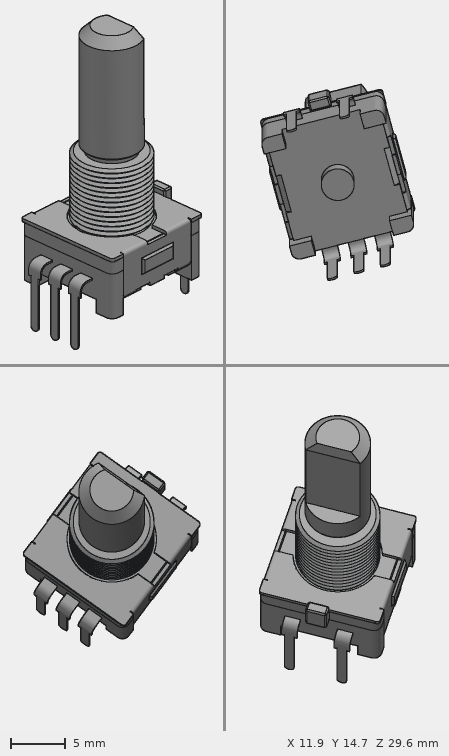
import cadquery as cq
import math


BODY_X = 11.47
BODY_Y = 11.92
BODY_CORNER = 0.75
SIDE_RECESS_HALF_Y = 4.5
FLAP_GAP = 0.12

FLOOR_Z = 1.42
SPLIT_Z = 4.65
SHEET = 0.35
BLOCK_TOP = 6.0
COVER_TOP = BLOCK_TOP + SHEET
OVERALL_TOP = 26.1

LEG_INNER_X = 3.68
BOSS_D = 3.0
LOCK_NOTCH_HALF_Y = 1.8

COVER_CORNER = 0.3
COVER_HOLE_R = 4.05
SLOT_Y = 2.5
FLAP_OUTER_X = BODY_X / 2 - 0.03
FLAP_INNER_X = FLAP_OUTER_X - SHEET
FLAP_HALF_Y = 4.45
FLAP_BOTTOM = 1.93
TONGUE_Y = 1.9
TONGUE_BOTTOM = 1.6
HOOK_Y = 1.63
HOOK_CENTRE_Y = 3.573
HOOK_REACH = 2 * SHEET
HOOK_CLEARANCE = 0.1
BUMP_OUTER_X = 11.9 / 2
BUMP_Y = 4.15
BUMP_BOTTOM = 3.2
BUMP_TOP = 4.92
BUMP_CHAMFER = 0.2

THREAD_CREST_R = 3.85
THREAD_ROOT_R = 3.55
THREAD_PITCH = 0.5
CREST_COUNT = 14
BUSHING_TOP = COVER_TOP + (CREST_COUNT - 0.5) * THREAD_PITCH
BUSHING_TOP_R = 3.5

LUG_X = 2.0
LUG_DEPTH = 1.05
LUG_TOP = 6.97
LUG_CHAMFER = 0.15

SHAFT_R = 6.0 / 2
NECK_R = 5.0 / 2
SHAFT_BOTTOM = 13.65
SHAFT_LOWER_CHAMFER = 0.2
SHAFT_TOP_CHAMFER = 1.0
FLAT_Y = 1.5
FLAT_BOTTOM = 16.2
FLAT_TOP_SETBACK = 0.35

PIN_PITCH = 2.5
PIN_WIDE = 1.48
PIN_NARROW = 0.92
PIN_SHEET = 0.18
PIN_SPAN_Y = 14.7
FRONT_PIN_REACH = 7.6
REAR_PIN_REACH = PIN_SPAN_Y - FRONT_PIN_REACH
PIN_TOP = 3.45
PIN_BEND_R = 0.9
PIN_SHOULDER_Z = 2.0
PIN_TIP_Z = OVERALL_TOP - 29.65


def block(x0, x1, y0, y1, z0, z1):
    """Box given by its limits along X, Y and Z."""
    return cq.Workplane("XY").box(x1 - x0, y1 - y0, z1 - z0, centered=False).translate((x0, y0, z0))


def both_sides(shape):
    """The shape together with its half-turn copy about the Z axis."""
    return shape.union(shape.rotate((0, 0, 0), (0, 0, 1), 180))


def body_prism(bottom, top, recess_x):
    """Rounded rectangular prism with its side walls set back to recess_x between the corners."""
    prism = cq.Workplane("XY").workplane(offset=bottom).rect(BODY_X, BODY_Y).extrude(top - bottom)
    prism = prism.edges("|Z").fillet(BODY_CORNER)
    recess = block(recess_x, BODY_X, -SIDE_RECESS_HALF_Y, SIDE_RECESS_HALF_Y, bottom, top)
    return prism.cut(both_sides(recess))


def make_base():
    base = body_prism(0, SPLIT_Z, FLAP_INNER_X)

    base = base.cut(block(-LEG_INNER_X, LEG_INNER_X, -BODY_Y, BODY_Y, 0, FLOOR_Z))
    base = base.cut(block(-BODY_X, BODY_X, -SIDE_RECESS_HALF_Y, SIDE_RECESS_HALF_Y, 0, FLOOR_Z))
    base = base.union(cq.Workplane("XY").circle(BOSS_D / 2).extrude(FLOOR_Z))

    notch_rise = FLAP_BOTTOM - FLOOR_Z
    notch = (
        cq.Workplane("XZ")
        .polyline([
            (FLAP_INNER_X, FLOOR_Z),
            (FLAP_INNER_X, FLAP_BOTTOM),
            (FLAP_INNER_X - notch_rise, FLOOR_Z),
        ])
        .close()
        .extrude(LOCK_NOTCH_HALF_Y, both=True)
    )
    base = base.cut(both_sides(notch))

    for centre_y in (-HOOK_CENTRE_Y, HOOK_CENTRE_Y):
        half = HOOK_Y / 2 + HOOK_CLEARANCE
        pocket = block(
            FLAP_OUTER_X - HOOK_REACH, FLAP_INNER_X, centre_y - half, centre_y + half,
            FLAP_BOTTOM - SHEET, FLAP_BOTTOM,
        )
        base = base.cut(both_sides(pocket))
    return base


def make_flap():
    """The +X flap of the cover, with its bend, bump, tongue and two hooks."""
    flap = block(FLAP_INNER_X, FLAP_OUTER_X, -FLAP_HALF_Y, FLAP_HALF_Y, FLAP_BOTTOM, COVER_TOP)
    flap = flap.edges("|Y and >X and >Z").fillet(SHEET * 0.999)
    flap = flap.union(
        block(FLAP_INNER_X, FLAP_OUTER_X, -TONGUE_Y / 2, TONGUE_Y / 2, TONGUE_BOTTOM, FLAP_BOTTOM)
    )

    bump = block(FLAP_OUTER_X - SHEET / 2, BUMP_OUTER_X, -BUMP_Y / 2, BUMP_Y / 2, BUMP_BOTTOM, BUMP_TOP)
    flap = flap.union(bump.faces(">X").chamfer(BUMP_CHAMFER))

    for centre_y in (-HOOK_CENTRE_Y, HOOK_CENTRE_Y):
        hook = block(
            FLAP_OUTER_X - HOOK_REACH, FLAP_OUTER_X, centre_y - HOOK_Y / 2, centre_y + HOOK_Y / 2,
            FLAP_BOTTOM - SHEET, FLAP_BOTTOM,
        )
        flap = flap.union(hook.edges("|Y and >X and <Z").fillet(SHEET * 0.999))
    return flap


def make_cover():
    plate = cq.Workplane("XY").workplane(offset=BLOCK_TOP).rect(BODY_X, BODY_Y).extrude(SHEET)
    plate = plate.edges("|Z").fillet(COVER_CORNER)
    edge = block(FLAP_INNER_X, BODY_X, -SIDE_RECESS_HALF_Y, SIDE_RECESS_HALF_Y, BLOCK_TOP, COVER_TOP)
    cover = plate.cut(both_sides(edge)).union(both_sides(make_flap()))
    cover = cover.cut(cq.Workplane("XY").workplane(offset=BLOCK_TOP).circle(COVER_HOLE_R).extrude(SHEET))
    return cover.cut(block(-BODY_X, BODY_X, -SLOT_Y / 2, SLOT_Y / 2, BLOCK_TOP, COVER_TOP))


def make_threaded_bushing():
    """Bushing with ring-shaped V grooves; its foot is sunk into the upper block."""
    outline = cq.Workplane("XZ").moveTo(0, SPLIT_Z).lineTo(THREAD_ROOT_R, SPLIT_Z)
    for index in range(-1, CREST_COUNT):
        crest_z = COVER_TOP + index * THREAD_PITCH
        outline = outline.lineTo(THREAD_ROOT_R, crest_z - THREAD_PITCH / 2).lineTo(THREAD_CREST_R, crest_z)
    outline = outline.lineTo(BUSHING_TOP_R, BUSHING_TOP).lineTo(0, BUSHING_TOP).close()
    return outline.revolve(360, (0, 0, 0), (0, 1, 0))


def make_lug():
    wall_y = BODY_Y / 2
    lug = block(-LUG_X / 2, LUG_X / 2, wall_y, wall_y + LUG_DEPTH, SPLIT_Z, LUG_TOP).edges().chamfer(LUG_CHAMFER)
    root = block(
        -LUG_X / 2, LUG_X / 2, wall_y - BODY_CORNER, wall_y + LUG_DEPTH / 2,
        SPLIT_Z + LUG_CHAMFER, BLOCK_TOP,
    )
    return lug.union(root)


def make_shaft():
    shaft = (
        cq.Workplane("XY").workplane(offset=SHAFT_BOTTOM).circle(SHAFT_R).extrude(OVERALL_TOP - SHAFT_BOTTOM)
        .faces(">Z").chamfer(SHAFT_TOP_CHAMFER)
        .faces("<Z").chamfer(SHAFT_LOWER_CHAMFER)
    )
    flat_cut = (
        cq.Workplane("YZ")
        .polyline([
            (SHAFT_R, FLAT_BOTTOM),
            (FLAT_Y, FLAT_BOTTOM),
            (FLAT_Y, OVERALL_TOP - SHAFT_TOP_CHAMFER),
            (FLAT_Y - FLAT_TOP_SETBACK, OVERALL_TOP),
            (SHAFT_R, OVERALL_TOP),
        ])
        .close()
        .extrude(SHAFT_R, both=True)
    )
    shaft = shaft.cut(flat_cut)
    neck = cq.Workplane("XY").workplane(offset=SPLIT_Z).circle(NECK_R).extrude(SHAFT_BOTTOM - SPLIT_Z)
    return shaft.union(neck)


def make_shaft_and_bushing():
    """Upper block, locating lug, threaded bushing and shaft as one solid."""
    upper = body_prism(SPLIT_Z, BLOCK_TOP, FLAP_INNER_X - FLAP_GAP)
    return upper.union(make_lug()).union(make_threaded_bushing()).union(make_shaft())


def make_pin(x, reach, angle):
    """Terminal leaving the -Y wall at x and bending down at reach, turned about the Z axis by angle."""
    wall_y = -BODY_Y / 2
    inner_r = PIN_BEND_R - PIN_SHEET
    bend_y = -reach + PIN_BEND_R
    bend_z = PIN_TOP - PIN_BEND_R
    diagonal = math.sqrt(0.5)
    strip = (
        cq.Workplane("YZ")
        .moveTo(wall_y, PIN_TOP)
        .lineTo(bend_y, PIN_TOP)
        .threePointArc(
            (bend_y - PIN_BEND_R * diagonal, bend_z + PIN_BEND_R * diagonal), (-reach, bend_z)
        )
        .lineTo(-reach, PIN_TIP_Z)
        .lineTo(-reach + PIN_SHEET, PIN_TIP_Z)
        .lineTo(-reach + PIN_SHEET, bend_z)
        .threePointArc(
            (bend_y - inner_r * diagonal, bend_z + inner_r * diagonal), (bend_y, PIN_TOP - PIN_SHEET)
        )
        .lineTo(wall_y, PIN_TOP - PIN_SHEET)
        .close()
        .extrude(PIN_WIDE / 2, both=True)
    )

    half = PIN_NARROW / 2
    outline = (
        cq.Workplane("XZ")
        .moveTo(-PIN_WIDE / 2, PIN_TOP)
        .lineTo(-PIN_WIDE / 2, PIN_SHOULDER_Z)
        .lineTo(-half, PIN_SHOULDER_Z)
        .lineTo(-half, PIN_TIP_Z + half)
        .threePointArc((0, PIN_TIP_Z), (half, PIN_TIP_Z + half))
        .lineTo(half, PIN_SHOULDER_Z)
        .lineTo(PIN_WIDE / 2, PIN_SHOULDER_Z)
        .lineTo(PIN_WIDE / 2, PIN_TOP)
        .close()
        .extrude(reach)
    )
    return strip.intersect(outline).translate((x, 0, 0)).rotate((0, 0, 0), (0, 0, 1), angle)


base = make_base()
cover = make_cover()
shaft_and_bushing = make_shaft_and_bushing()
front_pins = [make_pin(x, FRONT_PIN_REACH, 0) for x in (-PIN_PITCH, 0, PIN_PITCH)]
rear_pins = [make_pin(x, REAR_PIN_REACH, 180) for x in (-PIN_PITCH, PIN_PITCH)]
pins = front_pins + rear_pins

result = cq.Compound.makeCompound([
    base.solids().val(),
    cover.solids().val(),
    shaft_and_bushing.solids().val(),
    *[pin.solids().val() for pin in pins],
])